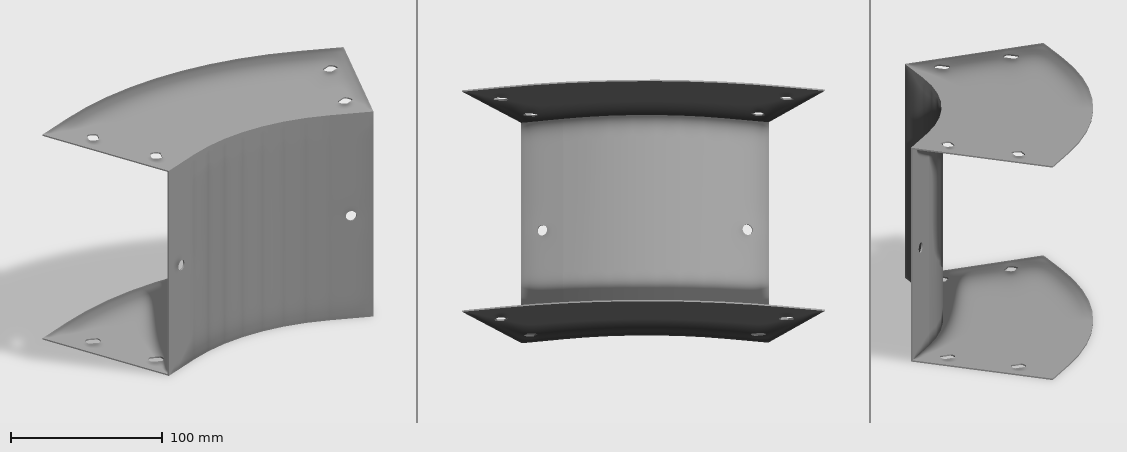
import cadquery as cq
import math

width = 100.1
height = 150.0
thickness = 1.0
inner_radius = 140.0
end_length = 30.0
turn = 45
hole_setback = 15.0
slot_offsets = (30.0, 80.0)
slot_length = 10.0
slot_width = 7.0
hole_diameter = 7.0

bend_centre_x = width + inner_radius
half_turn = turn / 2


def bend_point(radius, angle, overrun=0):
    """Point on the bend at an angle, moved on along the tangent by overrun."""
    a = math.radians(angle)
    return (
        bend_centre_x - radius * math.cos(a) + overrun * math.sin(a),
        end_length + radius * math.sin(a) + overrun * math.cos(a),
    )


def curved_strip(inset, strip_height):
    """Strip from the wall's free face to a given distance across the flange."""
    outer_radius = inner_radius + inset
    return (
        cq.Workplane("XY")
        .moveTo(*bend_point(outer_radius, 0, -end_length))
        .lineTo(*bend_point(outer_radius, 0))
        .threePointArc(bend_point(outer_radius, half_turn), bend_point(outer_radius, turn))
        .lineTo(*bend_point(outer_radius, turn, end_length))
        .lineTo(*bend_point(inner_radius, turn, end_length))
        .lineTo(*bend_point(inner_radius, turn))
        .threePointArc(bend_point(inner_radius, half_turn), bend_point(inner_radius, 0))
        .lineTo(*bend_point(inner_radius, 0, -end_length))
        .close()
        .extrude(strip_height)
    )


def slot_cutter(angle):
    """Round cutter with two flat sides, its long axis at an angle from X."""
    disc = cq.Workplane("XY").circle(slot_length / 2).extrude(thickness)
    bar = cq.Workplane("XY").rect(slot_length, slot_width).extrude(thickness)
    return disc.intersect(bar).rotate((0, 0, 0), (0, 0, 1), angle)


def flange_slots(base_z, start_angle, far_angle):
    """Slot cutters for one flange, with long-axis angles for the two ends."""
    start_run = hole_setback - end_length
    far_run = end_length - hole_setback
    ends = ((0, start_run, start_angle), (turn, far_run, far_angle))
    cutters = cq.Workplane("XY")
    for bend_angle, overrun, slot_angle in ends:
        centres = [bend_point(bend_centre_x - x, bend_angle, overrun) for x in slot_offsets]
        for x, y in centres:
            cutters.add(slot_cutter(slot_angle).translate((x, y, base_z)))
    return cutters.combine()


def wall_hole(bend_angle, overrun):
    """Round cutter square to the wall, at mid height."""
    a = math.radians(bend_angle)
    x, y = bend_point(inner_radius, bend_angle, overrun)
    inward = cq.Vector(-math.cos(a), math.sin(a), 0)
    start = cq.Vector(x, y, height / 2) - inward * thickness
    return cq.Workplane(
        cq.Solid.makeCylinder(hole_diameter / 2, 3 * thickness, start, inward)
    )


top_base = height - thickness
flange = curved_strip(width, thickness)
wall = curved_strip(thickness, height)
channel = wall.union(flange).union(flange.translate((0, 0, top_base)))

channel = channel.cut(flange_slots(top_base, -45, 90))
channel = channel.cut(flange_slots(0, 45, 0))

channel = channel.cut(wall_hole(0, hole_setback - end_length))
channel = channel.cut(wall_hole(turn, end_length - hole_setback))

result = channel